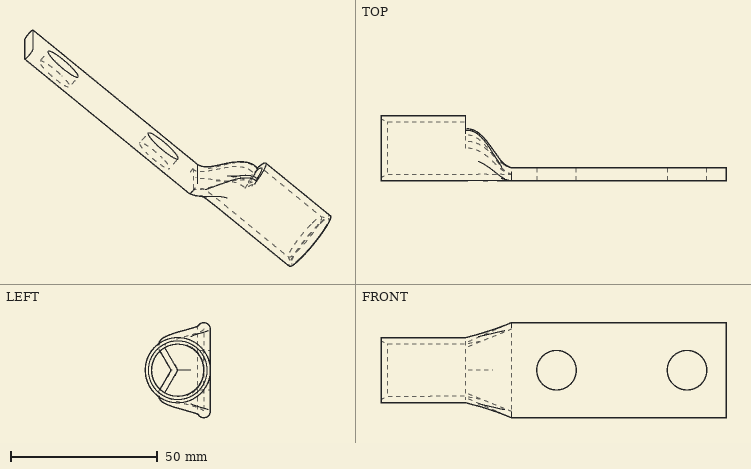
import cadquery as cq
import math

length = 117.6
barrel_diameter = 22.2
bore_diameter = 17.8
mouth_diameter = 20.0
mouth_depth = 2.2
barrel_length = 28.8
tongue_start = 44.3
tongue_thickness = 4.5
tongue_width = 32.5
hole_diameter = 13.4
first_hole_x = 59.7
hole_spacing = 44.5

fold_half_angle = 60.0
fold_wall = 2.0
crest_angle = 57.0
side_angle = 85.0
front_corner_angle = 110.0
crest_inner_z = 6.5
crest_tip = (6.6, 7.9)

seam_gap = 0.1
section_count = 6
flattening_lag = 1.3

barrel_radius = barrel_diameter / 2
bore_radius = bore_diameter / 2
mount_face_y = -barrel_radius
tongue_back_y = mount_face_y + tongue_thickness
tongue_mid_y = mount_face_y + tongue_thickness / 2
edge_radius = tongue_thickness / 2
tongue_flat_z = tongue_width / 2 - edge_radius
fold_slope = 1 / math.tan(math.radians(fold_half_angle))
fold_apex_y = fold_wall / math.sin(math.radians(fold_half_angle))


def circle_point(radius, angle):
    """Point (y, z) on a circle about the barrel axis, angle from +Y in degrees."""
    return (radius * math.cos(math.radians(angle)), radius * math.sin(math.radians(angle)))


def blend(start, end, t):
    """Move a (y, z) point: the depth eases in and out, the width spreads evenly."""
    s = t**flattening_lag
    ease = s * s * (3 - 2 * s)
    return (start[0] + (end[0] - start[0]) * ease, start[1] + (end[1] - start[1]) * t)


def mirrored(point):
    return (point[0], -point[1])


def section_plane(x):
    """Plane across the lug whose local axes are global Y and Z."""
    return cq.Workplane("YZ", origin=(x, 0, 0))


def front_curve(sketch, target, middle, flat):
    """Front wall: a curve about the barrel that ends as a straight line."""
    return sketch.lineTo(*target) if flat else sketch.threePointArc(middle, target)


def outer_section(t):
    edge_offset = edge_radius * math.sqrt(0.5)
    round_z = tongue_flat_z + edge_offset
    front = blend(circle_point(barrel_radius, front_corner_angle), (mount_face_y, tongue_flat_z), t)
    side = blend(circle_point(barrel_radius, side_angle), (tongue_mid_y - edge_offset, round_z), t)
    shoulder = blend(circle_point(barrel_radius, crest_angle), (tongue_mid_y, tongue_width / 2), t)
    tip = blend(crest_tip, (tongue_mid_y + edge_offset, round_z), t)
    back_start = (fold_apex_y + fold_slope * crest_inner_z, crest_inner_z)
    back = blend(back_start, (tongue_back_y, tongue_flat_z), t)
    apex = blend((fold_apex_y, 0), (tongue_back_y, 0), t)
    sketch = section_plane(barrel_length + t * (tongue_start - barrel_length)).moveTo(*mirrored(front))
    sketch = front_curve(sketch, front, (mount_face_y, 0), t == 1)
    sketch = sketch.threePointArc(side, shoulder).threePointArc(tip, back)
    sketch = sketch.lineTo(*apex).lineTo(*mirrored(back))
    sketch = sketch.threePointArc(mirrored(tip), mirrored(shoulder))
    return sketch.threePointArc(mirrored(side), mirrored(front)).close().val()


def inner_section(t):
    seam_front_y = tongue_mid_y - seam_gap / 2
    seam_back_y = tongue_mid_y + seam_gap / 2
    corner = blend(circle_point(bore_radius, fold_half_angle), (seam_front_y, tongue_flat_z), t)
    middle = blend((-bore_radius, 0), (seam_front_y, 0), t)
    apex = blend((0, 0), (seam_back_y, 0), t)
    sketch = section_plane(barrel_length + t * (tongue_start - barrel_length)).moveTo(*mirrored(corner))
    sketch = front_curve(sketch, corner, middle, t == 1)
    return sketch.lineTo(*apex).close().val()


def loft_sections(section):
    steps = [i / (section_count - 1) for i in range(section_count)]
    return cq.Workplane(cq.Solid.makeLoft([section(t) for t in steps]))


def make_barrel():
    barrel = section_plane(0).circle(barrel_radius).circle(bore_radius).extrude(barrel_length)
    mouth = cq.Solid.makeCone(
        mouth_diameter / 2, bore_radius, mouth_depth, cq.Vector(0, 0, 0), cq.Vector(1, 0, 0)
    )
    return barrel.cut(cq.Workplane(mouth))


def make_tongue():
    tongue = (
        section_plane(tongue_start)
        .center(tongue_mid_y, 0)
        .slot2D(tongue_width, tongue_thickness, 90)
        .extrude(length - tongue_start)
    )
    hole_centers = [(first_hole_x + i * hole_spacing, 0) for i in range(2)]
    holes = (
        cq.Workplane("XZ").pushPoints(hole_centers).circle(hole_diameter / 2).extrude(barrel_diameter)
    )
    return tongue.cut(holes)


transition = loft_sections(outer_section).cut(loft_sections(inner_section))
result = make_barrel().union(transition).union(make_tongue())